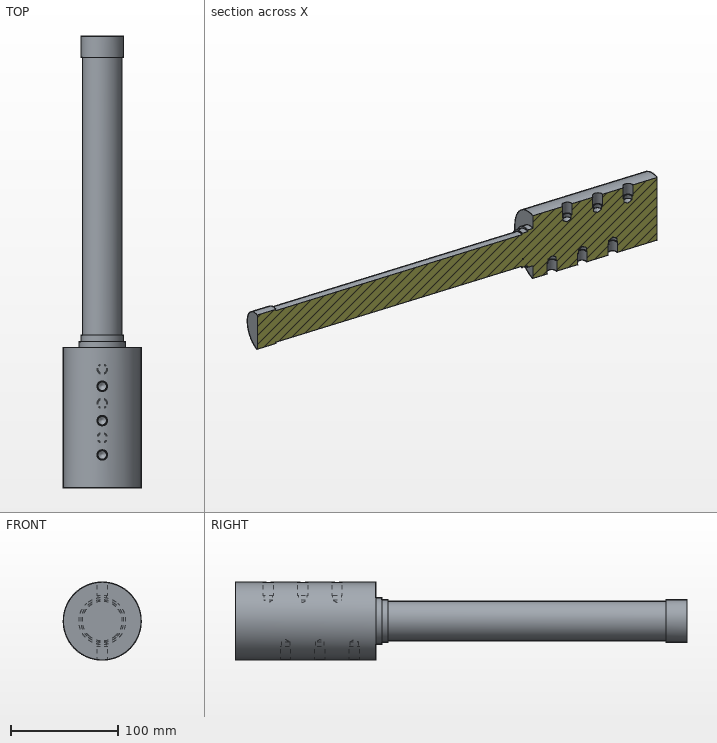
import cadquery as cq
import math

total_length = 422.0
head_length = 131.2
flange_length = 5.5
sleeve_length = 6.0
cap_length = 20.0

head_diameter = 73.0
flange_diameter = 44.0
sleeve_diameter = 40.0
rod_diameter = 37.0
cap_diameter = 40.0

mouth_diameter = 9.5
mouth_depth = 12.5
drill_diameter = 8.0
hole_depth = 17.0
drill_point_angle = 118.0
holes_per_row = 3
hole_pitch = 32.0
hole_stagger = hole_pitch / 2
top_row_start = 31.0
bottom_row_start = top_row_start + hole_stagger

front_y = -total_length / 2
rod_length = total_length - head_length - flange_length - sleeve_length - cap_length


def turned_body():
    """Stack the cylindrical steps along +Y, from the head to the cap."""
    steps = [
        (head_diameter, head_length),
        (flange_diameter, flange_length),
        (sleeve_diameter, sleeve_length),
        (rod_diameter, rod_length),
        (cap_diameter, cap_length),
    ]
    body = cq.Workplane("XY")
    y = front_y
    for diameter, length in steps:
        step = cq.Solid.makeCylinder(diameter / 2, length, cq.Vector(0, y, 0), cq.Vector(0, 1, 0))
        body = body.union(cq.Workplane(obj=step))
        y += length
    return body


def hole_row(row_start, side):
    """Cutters for one row of holes; side is +1 for the top and -1 for the underside."""
    radius = drill_diameter / 2
    tip_length = radius / math.tan(math.radians(drill_point_angle / 2))
    surface_z = side * head_diameter / 2
    inward = cq.Vector(0, 0, -side)
    row = cq.Workplane("XY")
    for index in range(holes_per_row):
        mouth = cq.Vector(0, front_y + row_start + index * hole_pitch, surface_z)
        shank = cq.Solid.makeCylinder(radius, hole_depth, mouth, inward)
        tip = cq.Solid.makeCone(radius, 0, tip_length, mouth + inward * hole_depth, inward)
        counterbore = cq.Solid.makeCylinder(mouth_diameter / 2, mouth_depth, mouth, inward)
        for cutter in (counterbore, shank, tip):
            row = row.union(cq.Workplane(obj=cutter))
    return row


result = turned_body().cut(hole_row(top_row_start, 1)).cut(hole_row(bottom_row_start, -1))